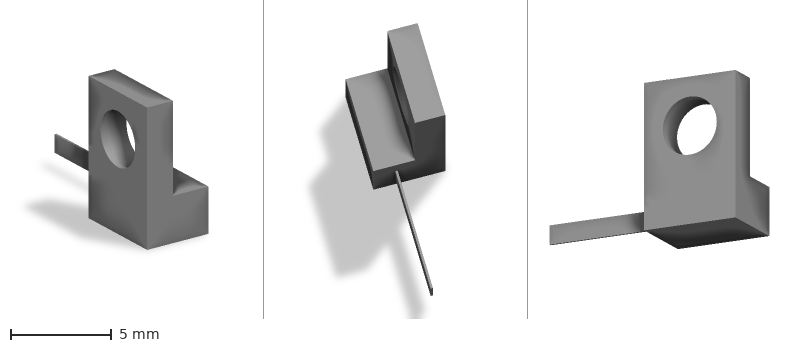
import cadquery as cq

total_length = 11.58
body_width = 5.08
body_depth = 3.7
body_height = 7.62
wall_thickness = 1.56
foot_height = 2.54

hole_diameter = 3.0
hole_height = body_height - body_width / 2

lead_length = total_length - body_width
lead_thickness = 0.12
lead_height = 1.0
lead_bottom = 0.76
lead_front = 2.45


def make_body():
    wall = cq.Workplane("XY").box(body_width, wall_thickness, body_height, centered=False)
    foot = cq.Workplane("XY").box(body_width, body_depth, foot_height, centered=False)
    return wall.union(foot)


def make_hole():
    return (
        cq.Workplane("XZ")
        .center(body_width / 2, hole_height)
        .circle(hole_diameter / 2)
        .extrude(-wall_thickness)
    )


def make_lead():
    return (
        cq.Workplane("XY")
        .box(lead_length, lead_thickness, lead_height, centered=False)
        .translate((-lead_length, lead_front, lead_bottom))
    )


result = make_body().cut(make_hole()).union(make_lead())